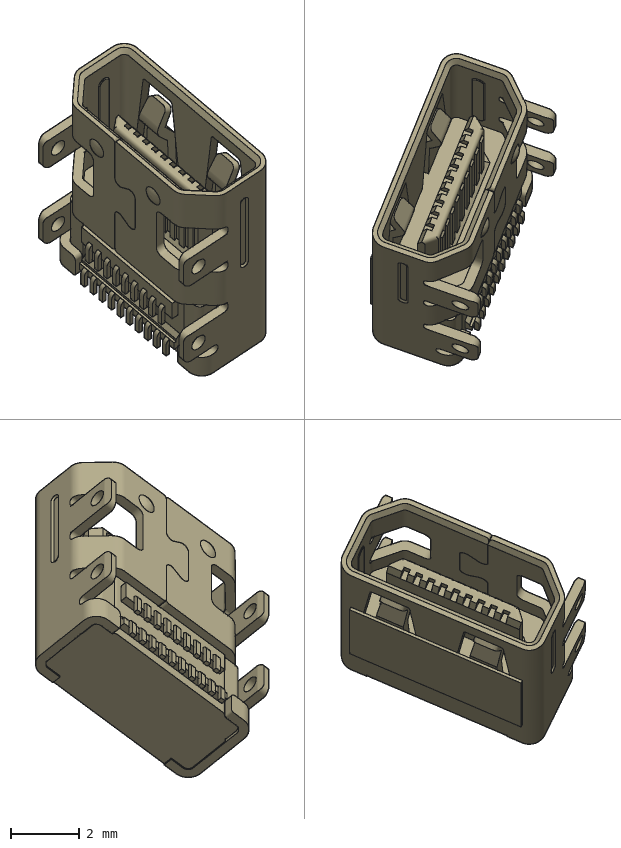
import cadquery as cq
import math


width = 6.5
height = 7.5
sheet = 0.3
bend_radius = 0.5
inner_radius = bend_radius - sheet
half_width = width / 2
inner_half_width = half_width - sheet
mouth_depth = 2.9
foot_depth = 2.84
mouth_chamfer = 0.915
lip_chamfer = 0.15
front_bottom = 2.68

window_bottom = 4.14
window_top = 6.03
window_edge_x = 1.39
window_radius = 0.225
slot_height = 0.345
slot_radius = 0.135
foot_slot_radius = 0.165
side_cut_depth = 1.755
foot_slot_bottom = 0.82
foot_slot_depth = 2.145
foot_edge_x = 2.26
foot_top_radius = 0.15
foot_bottom_radius = 0.075

tab_reach = 3.44
tab_tip = 0.225
tab_tip_inset = 0.05
tab_hole_diameter = 0.52
tab_hole_depth = 2.9
lower_tab_bottom = foot_slot_bottom + slot_height
lower_tab_top = front_bottom - slot_height
upper_tab_bottom = window_bottom + slot_height
upper_tab_top = window_top - slot_height

seam_x = 0.45
seam_gap = 0.01
seam_middle_z = 5.08
seam_mean_half = 0.705
seam_angle = 30.0
seam_radius = 0.2
seam_notch = 0.11

dome_x = 1.245
dome_z = 6.5
dome_radius = 0.31
dome_flat_radius = 0.1
dome_height = 0.1
dimple_depth_y = 1.11
dimple_bottom = 3.75
dimple_top = 6.75
dimple_width = 0.31
dimple_depth = 0.06
dimple_taper = 45
dimple_bump_width = 0.41
dimple_bump_height = 0.03

cover_half_width = 2.76
cover_bottom = 1.485
cover_top = 4.99
cover_thickness = 0.09
spring_x = 1.51
opening_top = 6.9
opening_top_half = 0.63
opening_slope = 0.11
opening_radius = 0.11
spring_half = 0.41
spring_slope = 0.05
spring_root_z = 5.06
spring_bend = (0.735, 5.61)
spring_back_bend = (0.36, 5.66)
spring_back_root_z = 5.175
spring_tip = (0.27, 6.42)
spring_tip_thickness = 0.26
spring_bend_radius = 0.375
spring_tip_radius = 0.19

housing_bottom = 0.05
floor_z = 3.315
front_face = mouth_depth - sheet
side_face = 2.57
side_radius = 0.22
side_relief = 0.045
side_relief_depth = 1.875
bar_face = 2.83
bar_half_width = 2.0
bar_bottom = 1.69
bar_top = 2.36
ledge_half_width = 2.085
ledge_bottom = 0.41
ledge_step_z = 0.7
ledge_step_depth = 2.745
ledge_slope_z = 0.79
ledge_top = 0.94
pin_width = 0.165
pin_thickness = 0.135
pin_bend_radius = 0.195
upper_pin_count = 9
upper_pin_span = 3.2
pitch = upper_pin_span / (upper_pin_count - 1)
upper_pin_top = 1.98
upper_pin_bottom = 1.25
lower_pin_count = 10
lower_pin_bottom = housing_bottom

tongue_top = 6.015
tongue_back = 1.14
tongue_front = 1.695
tongue_shoulder = 1.37
tongue_half = 2.14
tongue_front_half = 1.86
tongue_round = 0.12
back_chamfer_width = 0.135
back_chamfer_height = 0.255
base_spread = 0.165
base_rib_depth = 1.04
base_rib_x = 2.08
contact_count = 9
front_contact_width = 0.22
front_contact_top = 5.83
front_contact_height = 0.07
back_pocket_width = 0.195
back_pocket_depth = 1.425


def box(x0, x1, depth0, depth1, z0, z1):
    """Box between two X values, two depths behind the back face and two heights."""
    return cq.Workplane("XY").box(x1 - x0, depth1 - depth0, z1 - z0, centered=False).translate(
        (x0, -depth1, z0)
    )


def both_sides(solid):
    """The solid together with its mirror image in X."""
    return solid.union(solid.mirror("YZ"))


def row(count):
    """X positions of evenly pitched items centred on X = 0."""
    return [(i - (count - 1) / 2) * pitch for i in range(count)]


def side_profile(points, x0, x1):
    """Prism along X from (depth, z) points."""
    outline = [(-depth, z) for depth, z in points]
    return cq.Workplane("YZ").polyline(outline).close().extrude(x1 - x0).translate((x0, 0, 0))


def mouth_block(inset, z0, z1):
    """Prism of the mouth outline, moved inwards by inset and with matching bend radii."""
    x = half_width - inset
    front = mouth_depth - inset
    leg = mouth_chamfer - inset * (2 - math.sqrt(2))
    outline = [
        (-x, -inset), (x, -inset), (x, leg - front), (x - leg, -front),
        (leg - x, -front), (-x, leg - front),
    ]
    block = cq.Workplane("XY").workplane(offset=z0).polyline(outline).close().extrude(z1 - z0)
    return block.edges("|Z").fillet(bend_radius - inset)


def foot_block(inset, z0, z1):
    """Prism of the rectangular lower outline, moved inwards by inset."""
    x = half_width - inset
    block = box(-x, x, inset, foot_depth - inset, z0, z1)
    return block.edges("|Z").fillet(bend_radius - inset)


def side_opening(x0, x1, depth, z0, z1, radius):
    """Opening cutter entered from the front, with rounded inner corners."""
    cutter = box(x0, x1, depth, 2 * mouth_depth, z0, z1)
    return cutter.edges("|X and >Y").fillet(radius)


def make_mouth():
    """Upper part of the shell, with its flared lip and side windows."""
    cavity = mouth_block(sheet, front_bottom, height)
    above = 0.075
    flare = mouth_block(sheet - lip_chamfer, height - lip_chamfer, height + above)
    flare = flare.faces("<Z").chamfer(lip_chamfer)
    shell = mouth_block(0, front_bottom, height).cut(cavity).cut(flare)

    window = box(window_edge_x, inner_half_width, side_cut_depth, mouth_depth, window_bottom, window_top)
    window = window.edges("|Y and <X").fillet(window_radius)
    for z in (window_bottom, upper_tab_top):
        window = window.union(
            side_opening(inner_half_width, half_width, side_cut_depth, z, z + slot_height, slot_radius)
        )
    window = window.union(
        box(inner_half_width, half_width, side_cut_depth + slot_radius, mouth_depth,
            window_bottom, window_top)
    )
    return shell.cut(both_sides(window)).cut(seam())


def seam():
    """Narrow dovetailed gap of the front wall, with rounded mouths at both ends."""
    rise = seam_x * math.tan(math.radians(seam_angle))
    inner = seam_mean_half - rise
    outer = seam_mean_half + rise
    far = 3
    beyond = 0.075
    outline = [
        (-far, height + beyond), (-seam_x, height + beyond),
        (-seam_x, seam_middle_z + inner), (seam_x, seam_middle_z + outer),
        (seam_x, seam_middle_z - outer), (-seam_x, seam_middle_z - inner),
        (-seam_x, front_bottom - beyond), (-far, front_bottom - beyond),
    ]
    thickness = 2 * sheet
    to_front = (0, sheet - mouth_depth, 0)
    dovetail = cq.selectors.BoxSelector(
        (-far / 2, -far, seam_middle_z - 2 * seam_mean_half),
        (far / 2, far, seam_middle_z + 2 * seam_mean_half),
    )
    half = cq.Workplane("XZ").polyline(outline).close().extrude(thickness)
    half = half.edges("|Y").edges(dovetail).fillet(seam_radius)
    grown = half.faces("<Y").wires().toPending().offset2D(seam_gap).extrude(-thickness, combine=False)
    gap = grown.cut(half)
    gap = gap.intersect(box(-far / 2, far / 2, -far, far, front_bottom, height))
    gap = gap.translate(to_front)

    for z, direction in ((height, -1), (front_bottom, 1)):
        notch = (
            cq.Workplane("XZ")
            .moveTo(-seam_x - seam_notch, z)
            .radiusArc((-seam_x, z + direction * seam_notch), -direction * seam_notch)
            .radiusArc((-seam_x + seam_notch, z), -direction * seam_notch)
            .close()
            .extrude(thickness)
            .translate(to_front)
        )
        gap = gap.union(notch)
    return gap


def make_foot():
    """Lower part of the shell: open at the front between two wrapped feet."""
    margin = 0.01
    foot_inside = foot_depth - sheet
    shell = foot_block(0, 0, front_bottom).cut(foot_block(sheet, 0, front_bottom))
    opening = box(-foot_edge_x, foot_edge_x, foot_inside - margin, mouth_depth, 0, front_bottom)
    shell = shell.cut(opening)
    front_cut = box(-half_width, half_width, foot_slot_depth + foot_slot_radius, mouth_depth,
                    foot_slot_bottom, front_bottom)
    lower_slot = side_opening(-half_width, half_width, foot_slot_depth,
                              foot_slot_bottom, lower_tab_bottom, foot_slot_radius)
    upper_slot = side_opening(-half_width, half_width, side_cut_depth,
                              lower_tab_top, front_bottom, slot_radius)
    shell = shell.cut(front_cut).cut(lower_slot).cut(upper_slot)
    back_relief = box(-foot_edge_x, foot_edge_x, 0, sheet, 0, housing_bottom)
    shell = shell.cut(back_relief)
    for z, radius in ((0, foot_bottom_radius), (foot_slot_bottom, foot_top_radius)):
        corners = cq.selectors.BoxSelector(
            (-foot_edge_x - margin, -foot_depth, z - margin),
            (foot_edge_x + margin, -foot_inside, z + margin),
        )
        shell = shell.edges("|Y").edges(corners).fillet(radius)
    return shell


def make_tab(z0, z1):
    """Right-hand solder tab with a tapered, rounded tip and a hole."""
    shoulder = tab_reach - tab_tip
    plan = [
        (inner_half_width, -side_cut_depth),
        (inner_half_width, -shoulder),
        (inner_half_width + tab_tip_inset, -tab_reach),
        (half_width - tab_tip_inset, -tab_reach),
        (half_width, -shoulder),
        (half_width, -side_cut_depth),
    ]
    blade = cq.Workplane("XY").workplane(offset=z0).polyline(plan).close().extrude(z1 - z0)
    profile = box(0, half_width, side_cut_depth, tab_reach, z0, z1)
    profile = profile.edges("|X and <Y").fillet(tab_tip)
    hole = (
        cq.Workplane("YZ")
        .center(-tab_hole_depth, (z0 + z1) / 2)
        .circle(tab_hole_diameter / 2)
        .extrude(half_width)
    )
    return blade.intersect(profile).cut(hole)


def make_dome(x):
    """Flat-topped round bump on the front wall."""
    centre_depth = (dome_radius**2 - dome_flat_radius**2 - dome_height**2) / (2 * dome_height)
    sphere_radius = math.hypot(dome_radius, centre_depth)
    root = -sheet / 2
    dome = (
        cq.Workplane("XZ")
        .moveTo(0, root)
        .lineTo(dome_radius, root)
        .lineTo(dome_radius, 0)
        .radiusArc((dome_flat_radius, dome_height), -sphere_radius)
        .lineTo(0, dome_height)
        .close()
        .revolve(360, (0, 0, 0), (0, 1, 0))
    )
    return dome.rotate((0, 0, 0), (1, 0, 0), 90).translate((x, -mouth_depth, dome_z))


def dimple_slot(slot_width, x, length_x):
    """Upright obround prism starting at x and narrowing along length_x."""
    end_gap = dimple_width - slot_width
    return (
        cq.Workplane("YZ")
        .workplane(offset=x)
        .center(-dimple_depth_y, (dimple_bottom + dimple_top) / 2)
        .slot2D(dimple_top - dimple_bottom - end_gap, slot_width, 90)
        .extrude(length_x, taper=dimple_taper)
    )


def opening_and_spring(wall):
    """Cut the right-hand spring opening in the back wall and add its latch spring."""
    drop = opening_top - floor_z
    top = opening_top_half
    bottom = top + opening_slope * drop
    outline = [(-bottom, floor_z), (bottom, floor_z), (top, opening_top), (-top, opening_top)]
    opening = (
        cq.Workplane("XZ").polyline(outline).close().extrude(sheet)
        .edges("|Y and >Z").fillet(opening_radius)
        .translate((spring_x, 0, 0))
    )
    lean = math.atan2(spring_bend[0] - spring_tip[0], spring_tip[1] - spring_bend[1])
    tip_back = (
        spring_tip[0] - spring_tip_thickness * math.cos(lean),
        spring_tip[1] - spring_tip_thickness * math.sin(lean),
    )
    blade = [
        (0, floor_z), (sheet, floor_z), (sheet, spring_root_z), spring_bend,
        spring_tip, tip_back, spring_back_bend, (0, spring_back_root_z),
    ]
    root_half = spring_half + spring_slope * (spring_bend[1] - floor_z)
    top_half = spring_half - spring_slope * (height - spring_bend[1])
    face = [(-root_half, floor_z), (root_half, floor_z), (top_half, height), (-top_half, height)]
    spring = side_profile(blade, -root_half, root_half).intersect(
        cq.Workplane("XZ").polyline(face).close().extrude(mouth_depth)
    )
    spring = spring.edges("|X and <Y").fillet(spring_bend_radius)
    spring = spring.faces(">Z").edges("not |X").fillet(spring_tip_radius)
    spring = spring.translate((spring_x, 0, 0))
    return wall.cut(opening).union(spring)


def make_shell():
    """Complete sheet-metal shell."""
    shell = make_mouth().union(make_foot())
    for z0, z1 in ((lower_tab_bottom, lower_tab_top), (upper_tab_bottom, upper_tab_top)):
        shell = shell.union(both_sides(make_tab(z0, z1)))
    shell = shell.union(both_sides(make_dome(dome_x)))
    recess = dimple_slot(dimple_width, half_width, -dimple_depth)
    bump = dimple_slot(dimple_bump_width, inner_half_width, -dimple_bump_height)
    shell = shell.cut(both_sides(recess)).union(both_sides(bump))
    for _ in range(2):
        shell = opening_and_spring(shell).mirror("YZ")
    cover = box(-cover_half_width, cover_half_width, -cover_thickness, 0, cover_bottom, cover_top)
    return shell.union(cover)


def make_pin(x, top, bottom):
    """Bent solder pin leaving a bar at height top and running down to bottom."""
    front = bar_face + pin_thickness
    pin = box(x - pin_width / 2, x + pin_width / 2, bar_face - pin_thickness, front, bottom, top)
    pin = pin.edges("|X and >Z and <Y").fillet(pin_bend_radius)
    under = box(x - pin_width / 2, x + pin_width / 2, 0, bar_face, 0, top - pin_thickness)
    return pin.cut(under)


def make_housing():
    """Moulded body with the two bars that carry the solder pins."""
    sides = box(-inner_half_width, inner_half_width, sheet, side_face, housing_bottom, front_bottom)
    sides = sides.edges("|Z and >Y").fillet(inner_radius)
    relieved_half = inner_half_width - side_relief
    relief = box(relieved_half, inner_half_width, side_relief_depth, side_face,
                 housing_bottom, front_bottom)
    sides = sides.cut(both_sides(relief))
    sides = sides.edges("|Z and <Y").fillet(side_radius)
    body = mouth_block(sheet, housing_bottom, floor_z).union(sides)
    body = body.union(box(-bar_half_width, bar_half_width, front_face, bar_face, bar_bottom, bar_top))
    ledge = [
        (front_face, ledge_bottom), (bar_face, ledge_bottom), (bar_face, ledge_step_z),
        (ledge_step_depth, ledge_step_z), (ledge_step_depth, ledge_slope_z), (front_face, ledge_top),
    ]
    body = body.union(side_profile(ledge, -ledge_half_width, ledge_half_width))
    for x in row(upper_pin_count):
        body = body.union(make_pin(x, upper_pin_top, upper_pin_bottom))
    for x in row(lower_pin_count):
        body = body.union(make_pin(x, ledge_step_z, lower_pin_bottom))
    return body


def tongue_outline(spread, back):
    """Tongue section, widened by spread at the front and sides."""
    side = tongue_half + spread
    nose = tongue_front_half + spread / 2
    return [
        (-side, -back), (side, -back), (side, -tongue_shoulder - spread / 2),
        (nose, -tongue_front - spread), (-nose, -tongue_front - spread),
        (-side, -tongue_shoulder - spread / 2),
    ]


def make_tongue():
    """Contact tongue on a flared foot, with raised front contacts and pockets behind."""
    tongue = (
        cq.Workplane("XY").workplane(offset=floor_z)
        .polyline(tongue_outline(0, tongue_back)).close().extrude(tongue_top - floor_z)
    )
    margin = 0.075
    ahead_of_shoulder = cq.selectors.BoxSelector(
        (-tongue_half, -tongue_front - margin, tongue_top - margin),
        (tongue_half, -tongue_shoulder - margin, tongue_top + margin),
    )
    tongue = tongue.edges("#Z").edges(ahead_of_shoulder).fillet(tongue_round)
    back_bevel = [
        (tongue_back, tongue_top), (tongue_back + back_chamfer_width, tongue_top),
        (tongue_back, tongue_top - back_chamfer_height),
    ]
    tongue = tongue.cut(side_profile(back_bevel, -tongue_half, tongue_half))
    base = (
        cq.Workplane("XY").workplane(offset=floor_z)
        .polyline(tongue_outline(base_spread, base_rib_depth)).close()
        .workplane(offset=base_spread)
        .polyline(tongue_outline(0, base_rib_depth)).close()
        .loft(ruled=True)
    )
    base = base.cut(box(-base_rib_x, base_rib_x, 0, tongue_back, floor_z, tongue_top))
    tongue = tongue.union(base)
    for x in row(contact_count):
        half = front_contact_width / 2
        front_contact = box(x - half, x + half, tongue_shoulder, tongue_front + front_contact_height,
                            floor_z, front_contact_top)
        front_contact = front_contact.edges("|X and >Z and <Y").chamfer(front_contact_height)
        half = back_pocket_width / 2
        back_pocket = box(x - half, x + half, tongue_back, back_pocket_depth,
                          front_contact_top - front_contact_height, tongue_top)
        tongue = tongue.union(front_contact).cut(back_pocket)
    return tongue


result = make_shell().union(make_housing()).union(make_tongue())